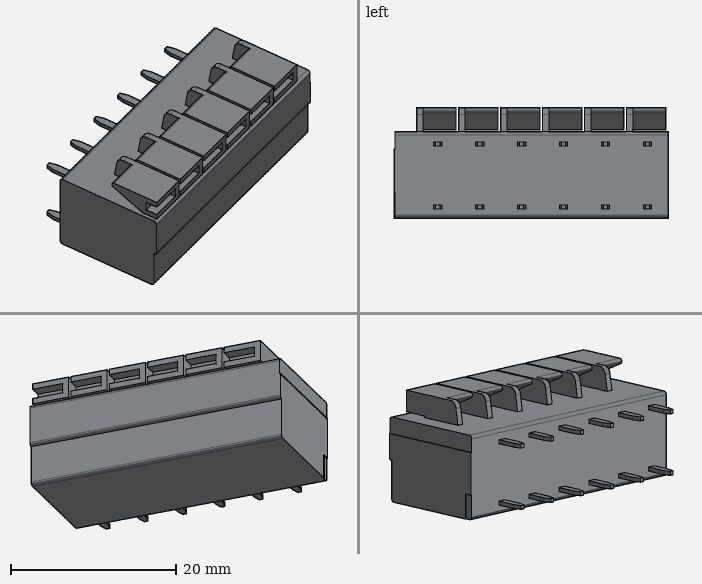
import cadquery as cq
import math


POLE_COUNT = 6
PITCH = 5.08

BODY_LENGTH = 33.08
BODY_DEPTH = 14.1
BODY_HEIGHT = 10.52
LIP_DEPTH = 0.4
LIP_BOTTOM = 5.15
EDGE_RADIUS = 0.4
LIP_RADIUS = 0.35

PAD_THICKNESS = 0.1
PAD_TOP = 8.43
PAD_NOTCH_TOP = 3.12
PAD_NOTCH_DEPTH = 1.0

PIN_LENGTH = 3.5
PIN_WIDTH = 1.0
PIN_THICKNESS = 0.5
PIN_TIP_WIDTH = 0.5
PIN_TIP_LENGTH = 1.03
FIRST_PIN_Y = 2.52
LOWER_PIN_Z = 1.35
PIN_ROW_SPACING = 7.63

LEVER_WIDTH = 4.78
FIRST_LEVER_Y = 0.3
LEVER_HEIGHT = 2.9
LEVER_TOP = BODY_HEIGHT + LEVER_HEIGHT
LEVER_FRONT = 13.95
LEVER_GAP = 0.2
LEVER_BOTTOM = BODY_HEIGHT + LEVER_GAP

TAB_WIDTH = 0.8
TAB_BACK = 5.05
TAB_FOOT_FRONT = 10.8
TAB_LEAN = 9.0
TAB_RADIUS = 1.0

PADDLE_WIDTH = LEVER_WIDTH - TAB_WIDTH
PADDLE_BACK = 7.35
PADDLE_BACK_HEIGHT = 0.55
PADDLE_BOTTOM_BACK = 11.85
PADDLE_RADIUS = 0.33

NOTCH_DEPTH = 1.55
NOTCH_BOTTOM = 11.45
NOTCH_HEIGHT = 1.23


def extrude_along_y(profile, start_y, length):
    """Extrude a closed XZ profile toward +Y from start_y."""
    return profile.extrude(-length).translate((0, start_y, 0))


def body_block(length):
    """Body section with a front lip; all outer corners rounded."""
    lower_front = BODY_DEPTH - LIP_DEPTH
    profile = (
        cq.Workplane("XZ")
        .polyline([
            (0, 0),
            (lower_front, 0),
            (lower_front, LIP_BOTTOM),
            (BODY_DEPTH, LIP_BOTTOM),
            (BODY_DEPTH, BODY_HEIGHT),
            (0, BODY_HEIGHT),
        ])
        .close()
    )
    block = extrude_along_y(profile, 0, length)
    block = block.edges("|Y and (<X or >Z or <Z)").fillet(EDGE_RADIUS)
    lip_edge = cq.selectors.NearestToPointSelector((BODY_DEPTH, length / 2, LIP_BOTTOM))
    return block.edges(lip_edge).fillet(LIP_RADIUS)


def end_pad():
    """Thin pad on the +Y end, following the body section below PAD_TOP."""
    pad = body_block(PAD_THICKNESS)
    above = cq.Workplane().box(BODY_DEPTH, PAD_THICKNESS, BODY_HEIGHT - PAD_TOP, centered=False)
    above = above.translate((0, 0, PAD_TOP))
    notch = cq.Workplane().box(PAD_NOTCH_DEPTH, PAD_THICKNESS, PAD_NOTCH_TOP, centered=False)
    return pad.cut(above).cut(notch).translate((0, BODY_LENGTH, 0))


def pin(center_y, center_z):
    """Flat pin with a tapered tip, projecting toward -X."""
    half_width = PIN_WIDTH / 2
    half_tip = PIN_TIP_WIDTH / 2
    taper_start = PIN_TIP_LENGTH - PIN_LENGTH
    return (
        cq.Workplane("XY")
        .polyline([
            (0, -half_width),
            (taper_start, -half_width),
            (-PIN_LENGTH, -half_tip),
            (-PIN_LENGTH, half_tip),
            (taper_start, half_width),
            (0, half_width),
        ])
        .close()
        .extrude(PIN_THICKNESS)
        .translate((0, center_y, center_z - PIN_THICKNESS / 2))
    )


def lever_tab(start_y):
    """Upright tab with a leaning back, standing on the body and reaching to the lever front."""
    tab_top_back = TAB_BACK + LEVER_HEIGHT * math.tan(math.radians(TAB_LEAN))
    profile = (
        cq.Workplane("XZ")
        .polyline([
            (TAB_BACK, BODY_HEIGHT),
            (TAB_FOOT_FRONT, BODY_HEIGHT),
            (TAB_FOOT_FRONT, LEVER_BOTTOM),
            (LEVER_FRONT, LEVER_BOTTOM),
            (LEVER_FRONT, LEVER_TOP),
            (tab_top_back, LEVER_TOP),
        ])
        .close()
    )
    tab = extrude_along_y(profile, start_y, TAB_WIDTH)
    corner = (tab_top_back, start_y + TAB_WIDTH / 2, LEVER_TOP)
    top_back_edge = cq.selectors.NearestToPointSelector(corner)
    return tab.edges(top_back_edge).fillet(TAB_RADIUS)


def lever_paddle(start_y):
    """Wedge-shaped paddle with a rounded back edge and a notch in its front."""
    profile = (
        cq.Workplane("XZ")
        .polyline([
            (PADDLE_BACK, LEVER_TOP),
            (PADDLE_BACK, LEVER_TOP - PADDLE_BACK_HEIGHT),
            (PADDLE_BOTTOM_BACK, LEVER_BOTTOM),
            (LEVER_FRONT, LEVER_BOTTOM),
            (LEVER_FRONT, LEVER_TOP),
        ])
        .close()
    )
    paddle = extrude_along_y(profile, start_y, PADDLE_WIDTH)
    paddle = paddle.faces("<X").edges("|Y").fillet(PADDLE_RADIUS)

    notch = cq.Workplane().box(NOTCH_DEPTH, PADDLE_WIDTH, NOTCH_HEIGHT, centered=False)
    notch = notch.translate((LEVER_FRONT - NOTCH_DEPTH, start_y, NOTCH_BOTTOM))
    return paddle.cut(notch)


def lever(start_y):
    return lever_paddle(start_y).union(lever_tab(start_y + PADDLE_WIDTH))


result = body_block(BODY_LENGTH).union(end_pad())
for pole in range(POLE_COUNT):
    offset = pole * PITCH
    result = result.union(lever(FIRST_LEVER_Y + offset))
    for pin_z in (LOWER_PIN_Z, LOWER_PIN_Z + PIN_ROW_SPACING):
        result = result.union(pin(FIRST_PIN_Y + offset, pin_z))